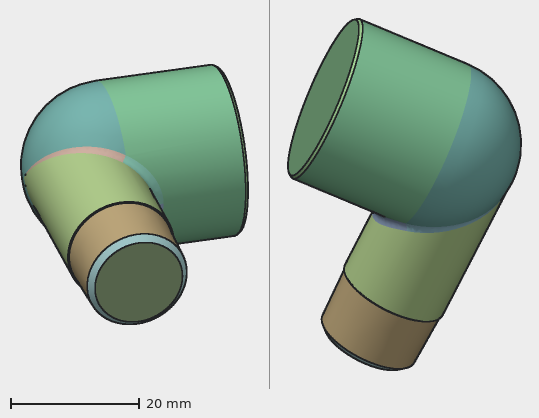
import cadquery as cq

body_diameter = 27.0
body_radius = body_diameter / 2
overall_depth = 32.6
socket_length = overall_depth - body_radius
socket_chamfer_length = 0.5
socket_chamfer_depth = 0.35

overall_length = 49.5
spigot_radius = 17.2 / 2
spigot_axis_y = spigot_radius - body_radius
spigot_end_x = overall_length - body_radius
tapered_length = 10.4
taper_start_x = spigot_end_x - tapered_length
taper_start_radius = 8.35
taper_end_radius = 8.05
spigot_chamfer = 1.0

blend_radius = 1.7
blend_start_x = 0.75


def make_body():
    """Revolve the socket and its hemispherical end about the Y axis."""
    half_diagonal = body_radius * 0.5**0.5
    return (
        cq.Workplane("XY")
        .moveTo(0, -body_radius)
        .threePointArc((half_diagonal, -half_diagonal), (body_radius, 0))
        .lineTo(body_radius, socket_length - socket_chamfer_length)
        .lineTo(body_radius - socket_chamfer_depth, socket_length)
        .lineTo(0, socket_length)
        .close()
        .revolve(360, (0, 0, 0), (0, 1, 0))
    )


def make_spigot():
    """Revolve the stepped, tapered spigot about its own axis."""
    return (
        cq.Workplane("XY", origin=(0, spigot_axis_y, 0))
        .lineTo(0, spigot_radius)
        .lineTo(taper_start_x, spigot_radius)
        .lineTo(taper_start_x, taper_start_radius)
        .lineTo(spigot_end_x - spigot_chamfer, taper_end_radius)
        .lineTo(spigot_end_x, taper_end_radius - spigot_chamfer)
        .lineTo(spigot_end_x, 0)
        .close()
        .revolve(360, (0, 0, 0), (1, 0, 0))
    )


elbow = make_body().union(make_spigot())

block_size = 2 * overall_length
blend_side = cq.Workplane("XY").box(block_size, block_size, block_size).translate(
    (blend_start_x + block_size / 2, 0, 0)
)
plain_part = elbow.cut(blend_side)
blended_part = elbow.intersect(blend_side)
corner_edges = blended_part.edges("not(%CIRCLE or %LINE or %HYPERBOLA)")
result = plain_part.union(corner_edges.fillet(blend_radius))